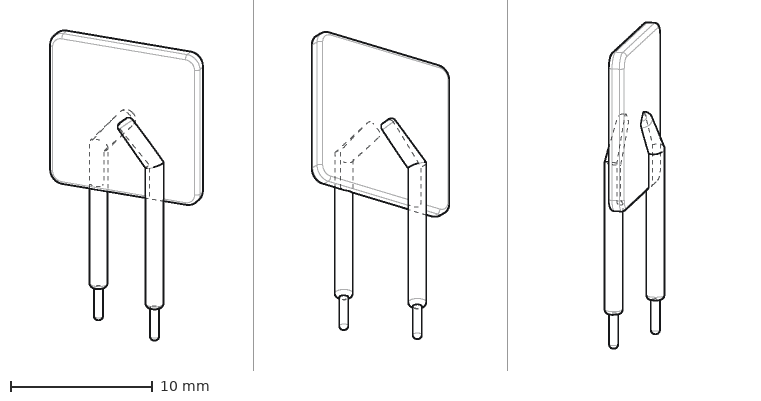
import cadquery as cq

plate_side = 11.5
plate_thickness = 1.1
plate_corner_radius = 1.0
plate_edge_radius = 0.29

total_height = 22
lead_diameter = 1.3
lead_end_radius = 0.33
lead_pitch = 5.1
lead_depth_span = 3.1
bend_height = 13.4
pin_diameter = 0.65
pin_length = 2.5
pin_tip_radius = 0.3

plate_center_z = total_height - plate_side / 2
lead_x = lead_pitch / 2
lead_y = -(lead_depth_span - lead_diameter) / 2


def make_plate():
    """Plate with rounded corners and rounded front and back edges."""
    plate = cq.Workplane("XY").box(plate_side, plate_thickness, plate_side)
    plate = plate.edges("|Y").fillet(plate_corner_radius)
    plate = plate.faces("<Y or >Y").edges().fillet(plate_edge_radius)
    return plate.translate((0, 0, plate_center_z))


def make_lead():
    """Front lead: a vertical run mitred into a run ending at the middle of the plate face."""
    start = cq.Vector(lead_x, lead_y, pin_length)
    bend = cq.Vector(lead_x, lead_y, bend_height)
    end = cq.Vector(0, -plate_thickness / 2, plate_center_z)

    path = cq.Workplane("XY").polyline([start, bend, end])
    section = cq.Workplane("XY", origin=start.toTuple()).circle(lead_diameter / 2)
    lead = section.sweep(path, transition="right")

    end_direction = cq.selectors.ParallelDirSelector(end - bend)
    lead = lead.faces("<Z").edges().fillet(lead_end_radius)
    return lead.faces(end_direction).edges().fillet(lead_end_radius)


def make_pin():
    """Bare round-tipped pin below the front lead."""
    pin = cq.Workplane("XY", origin=(lead_x, lead_y, 0)).circle(pin_diameter / 2).extrude(pin_length)
    return pin.faces("<Z").edges().fillet(pin_tip_radius)


front_lead = make_lead().union(make_pin())
back_lead = front_lead.rotate((0, 0, 0), (0, 0, 1), 180)
result = make_plate().union(front_lead).union(back_lead)